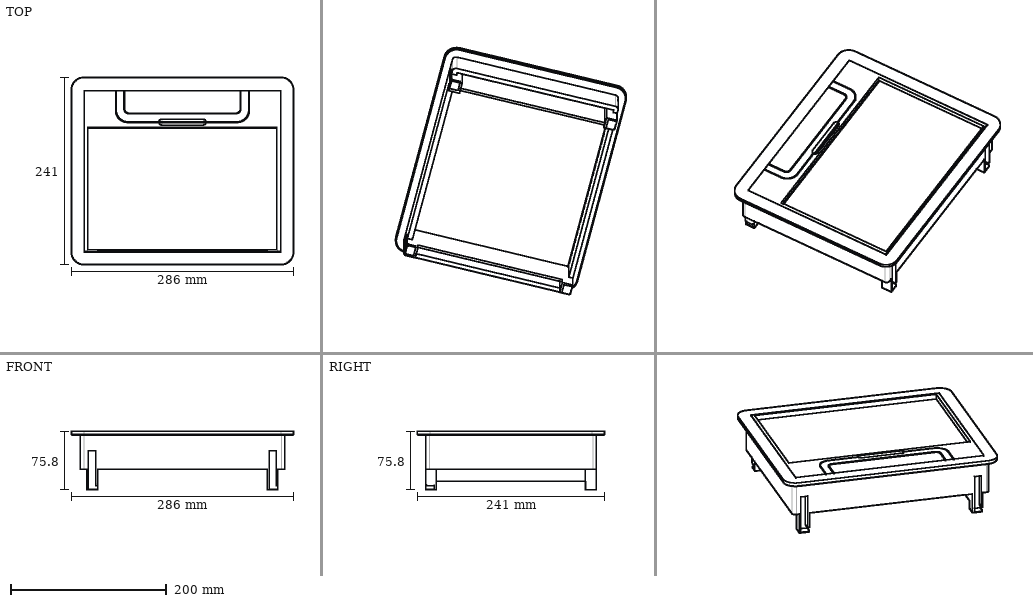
import cadquery as cq

DECK_LENGTH = 286.0
DECK_WIDTH = 241.0
DECK_THICKNESS = 5.5
DECK_CORNER_RADIUS = 16.3
DECK_EDGE_CHAMFER = 1.1
TOTAL_HEIGHT = 75.8

BOX_LENGTH = 263.5
BOX_WIDTH = 219.5
BOX_HEIGHT = 49.2
BOX_CORNER_RADIUS = 4.5

OPENING_LENGTH = 252.2
OPENING_REAR_Y = 103.2
OPENING_FRONT_Y = -104.5

LEG_SIZE = 14.0
LEG_INSET = 9.0
LEG_CENTER_X = BOX_LENGTH / 2 - LEG_INSET - LEG_SIZE / 2
SLOT_WIDTH = 9.2
SLOT_DEPTH = 11.2
SLOT_TOP = -25.2
SLOT_FLOOR = 1.0
SLOT_OUTER_WALL = 2.0
WINDOW_HEIGHT = 4.5
MOUTH_RADIUS = 2.5
PANEL_THICKNESS = 3.1
PANEL_BOTTOM = -64.5

COVER_THICKNESS = 8.5
COVER_FRONT_GAP = 1.0
FIELD_LENGTH = 243.0
FIELD_REAR_Y = 56.0
FIELD_FRONT_Y = -101.2
FIELD_DEPTH = 6.5
LEDGE_WIDTH = 1.0
LEDGE_HEIGHT = 0.3

FLAP_SEAT_LENGTH = 172.2
FLAP_SEAT_FRONT_Y = 62.3
FLAP_SEAT_RADIUS = 15.7
FLAP_GAP = 1.0
FLAP_THICKNESS = 5.7
GROOVE_LENGTH = 150.5
GROOVE_FRONT_Y = 73.8
GROOVE_RADIUS = 6.3
GROOVE_WIDTH = 0.71
GROOVE_DEPTH = 1.0

GRIP_LENGTH = 60.5
GRIP_RADIUS = 3.7
GRIP_CENTER_Y = FLAP_SEAT_FRONT_Y + FLAP_GAP / 2


def block(x_min, x_max, y_min, y_max, z_min, z_max):
    """A box given by its limits along each axis."""
    size = (x_max - x_min, y_max - y_min, z_max - z_min)
    return cq.Workplane("XY").box(*size, centered=False).translate((x_min, y_min, z_min))


def centered_block(length, y_min, y_max, z_min, z_max):
    """A box centred on X = 0."""
    return block(-length / 2, length / 2, y_min, y_max, z_min, z_max)


def tongue(length, front_y, radius, depth):
    """A tongue from the opening's rear edge to front_y, with its front corners rounded."""
    return centered_block(length, front_y, OPENING_REAR_Y, -depth, 0).edges("|Z and <Y").fillet(radius)


def make_grip():
    """The horizontal capsule that forms the finger grip."""
    straight = GRIP_LENGTH - 2 * GRIP_RADIUS
    capsule = cq.Workplane("YZ").circle(GRIP_RADIUS).extrude(straight / 2, both=True)
    for side in (-1, 1):
        capsule = capsule.union(cq.Workplane("XY").sphere(GRIP_RADIUS).translate((side * straight / 2, 0, 0)))
    return capsule.translate((0, GRIP_CENTER_Y, 0))


def front_leg(side):
    """A front leg, carried up to the cover's underside. side is -1 at -X and 1 at +X."""
    left = side * LEG_CENTER_X - LEG_SIZE / 2
    front = -BOX_WIDTH / 2
    return block(left, left + LEG_SIZE, front, front + LEG_SIZE, -TOTAL_HEIGHT, -COVER_THICKNESS)


def front_leg_slot(side):
    """The slot in a front leg's outer face, with the window at its foot that opens toward +X."""
    slot_center = side * (LEG_CENTER_X + LEG_SIZE / 2 - SLOT_OUTER_WALL - SLOT_WIDTH / 2)
    slot_left = slot_center - SLOT_WIDTH / 2
    slot_right = slot_center + SLOT_WIDTH / 2
    leg_right = side * LEG_CENTER_X + LEG_SIZE / 2
    front = -BOX_WIDTH / 2
    back = front + SLOT_DEPTH
    foot = -TOTAL_HEIGHT + SLOT_FLOOR
    window_top = foot + WINDOW_HEIGHT

    slot = block(slot_left, slot_right, front, back, foot, SLOT_TOP)
    window = block(slot_right, leg_right, front, back, foot, window_top)

    wall_edge = block(
        slot_right, leg_right, front, front + MOUTH_RADIUS, window_top, window_top + MOUTH_RADIUS
    ).cut(
        cq.Workplane("YZ", origin=(slot_right, front + MOUTH_RADIUS, window_top + MOUTH_RADIUS))
        .circle(MOUTH_RADIUS).extrude(leg_right - slot_right)
    )
    floor_corner = block(
        leg_right - MOUTH_RADIUS, leg_right, front, front + MOUTH_RADIUS, -TOTAL_HEIGHT, foot
    ).cut(
        cq.Workplane("XY", origin=(leg_right - MOUTH_RADIUS, front + MOUTH_RADIUS, -TOTAL_HEIGHT))
        .circle(MOUTH_RADIUS).extrude(SLOT_FLOOR)
    )
    return slot.union(window).union(wall_edge).union(floor_corner)


def side_panel():
    """The panel between the two legs at -X, flush with their inner faces."""
    inner_x = -LEG_CENTER_X + LEG_SIZE / 2
    half_width = BOX_WIDTH / 2 - LEG_SIZE
    return block(inner_x - PANEL_THICKNESS, inner_x, -half_width, half_width, PANEL_BOTTOM, -COVER_THICKNESS)


def make_housing():
    deck = (
        centered_block(DECK_LENGTH, -DECK_WIDTH / 2, DECK_WIDTH / 2, -DECK_THICKNESS, 0)
        .edges("|Z").fillet(DECK_CORNER_RADIUS)
        .faces("<Z").edges().chamfer(DECK_EDGE_CHAMFER)
    )
    walls = (
        centered_block(BOX_LENGTH, -BOX_WIDTH / 2, BOX_WIDTH / 2, -BOX_HEIGHT, 0)
        .edges("|Z").fillet(BOX_CORNER_RADIUS)
    )
    opening = centered_block(OPENING_LENGTH, OPENING_FRONT_Y, OPENING_REAR_Y, -BOX_HEIGHT, 0)
    housing = deck.union(walls).cut(opening)

    for turn in (0, 180):
        housing = housing.union(side_panel().rotate((0, 0, 0), (0, 0, 1), turn))
        for side in (-1, 1):
            housing = housing.union(front_leg(side).rotate((0, 0, 0), (0, 0, 1), turn))
    for turn in (0, 180):
        for side in (-1, 1):
            housing = housing.cut(front_leg_slot(side).rotate((0, 0, 0), (0, 0, 1), turn))
    return housing


def make_cover():
    front_y = OPENING_FRONT_Y + COVER_FRONT_GAP
    cover = centered_block(OPENING_LENGTH, front_y, OPENING_REAR_Y, -COVER_THICKNESS, 0)
    field = centered_block(FIELD_LENGTH, FIELD_FRONT_Y, FIELD_REAR_Y, -FIELD_DEPTH, 0)
    ledge = centered_block(
        FIELD_LENGTH, FIELD_REAR_Y - LEDGE_WIDTH, FIELD_REAR_Y, -FIELD_DEPTH, -FIELD_DEPTH + LEDGE_HEIGHT
    )
    seat = tongue(FLAP_SEAT_LENGTH, FLAP_SEAT_FRONT_Y, FLAP_SEAT_RADIUS, FLAP_THICKNESS)
    return cover.cut(field.cut(ledge)).cut(seat).cut(make_grip())


def make_flap():
    flap = tongue(
        FLAP_SEAT_LENGTH - 2 * FLAP_GAP,
        FLAP_SEAT_FRONT_Y + FLAP_GAP,
        FLAP_SEAT_RADIUS - FLAP_GAP,
        FLAP_THICKNESS,
    )
    groove_outside = tongue(GROOVE_LENGTH, GROOVE_FRONT_Y, GROOVE_RADIUS, GROOVE_DEPTH)
    groove_inside = tongue(
        GROOVE_LENGTH - 2 * GROOVE_WIDTH,
        GROOVE_FRONT_Y + GROOVE_WIDTH,
        GROOVE_RADIUS - GROOVE_WIDTH,
        GROOVE_DEPTH,
    )
    return flap.cut(groove_outside.cut(groove_inside)).cut(make_grip())


housing = make_housing()
cover = make_cover()
flap = make_flap()

result = cq.Compound.makeCompound([housing.val(), cover.val(), flap.val()])